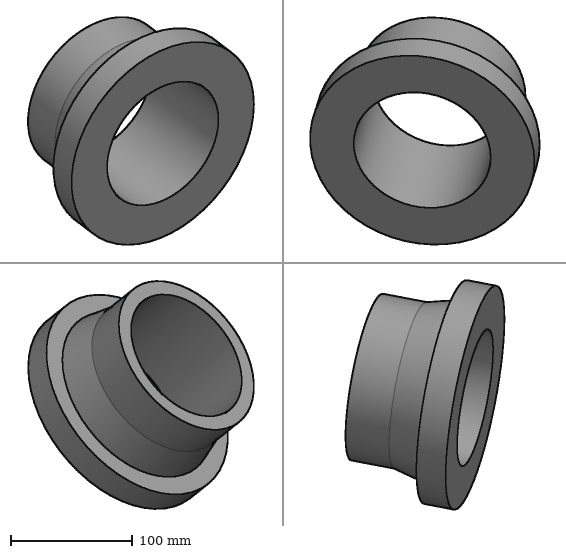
import cadquery as cq

flange_diameter = 188.0
neck_diameter = 140.0
hub_diameter = 155.1
bore_diameter = 114.7
total_length = 92.0
flange_thickness = 25.0
hub_length = 29.9

flange_radius = flange_diameter / 2
neck_radius = neck_diameter / 2
hub_radius = hub_diameter / 2
bore_radius = bore_diameter / 2

neck_end = -total_length / 2
flange_back = total_length / 2
flange_front = flange_back - flange_thickness
hub_start = flange_front - hub_length

half_section = (
    cq.Workplane("XY")
    .moveTo(neck_end, bore_radius)
    .lineTo(neck_end, neck_radius)
    .lineTo(hub_start, neck_radius)
    .lineTo(flange_front, hub_radius)
    .lineTo(flange_front, flange_radius)
    .lineTo(flange_back, flange_radius)
    .lineTo(flange_back, bore_radius)
    .close()
)

result = half_section.revolve(360, (0, 0, 0), (1, 0, 0))